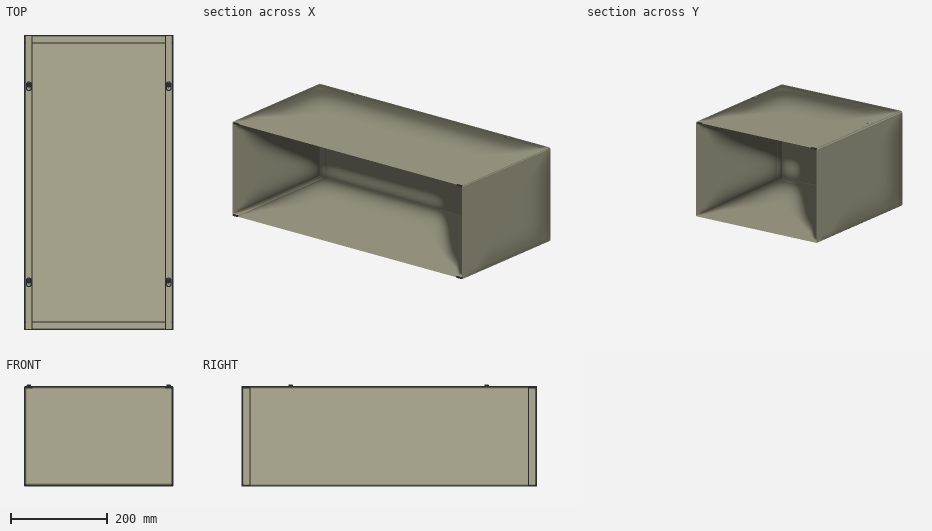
import cadquery as cq

length = 609.5
width = 308.0
height = 209.0
sheet = 1.5
bend_radius = 2.15
flange_reach = 16.0
lid_inset = 1.5

head_rise = 2.7
head_diameter = 7.5
head_edge_radius = 1.5
recess_span = 5.0
recess_slot_width = 1.0
recess_depth = 0.9
shank_diameter = 3.7
screw_hole_diameter = 4.15
screw_inset = 9.0
screw_pitch = 406.0
screw_mid_y = -1.0

slot_width = 10.0
slot_length = 17.5
slot_offset = -2.5

lid_top = height - head_rise
wrapper_top = lid_top - sheet
flange_bottom = wrapper_top - sheet
inner_width = width - 2 * sheet
screw_points = [
    (side * (width / 2 - screw_inset), screw_mid_y + end * screw_pitch / 2)
    for side in (-1, 1)
    for end in (-1, 1)
]


def block(size_x, size_y, bottom, top):
    """Box centred on the Z axis between two levels."""
    base = cq.Workplane("XY", origin=(0, 0, bottom))
    return base.rect(size_x, size_y).extrude(top - bottom)


def make_wrapper():
    """Floor, sides and inturned top flanges, bent from one sheet and open at both ends."""
    outer = block(width, length, 0, wrapper_top).edges("|Y").fillet(bend_radius)
    inner = block(inner_width, length, sheet, flange_bottom)
    inner = inner.edges("|Y").fillet(bend_radius - sheet)
    opening = block(width - 2 * flange_reach, length, flange_bottom, wrapper_top)
    screw_holes = (
        cq.Workplane("XY", origin=(0, 0, flange_bottom))
        .pushPoints(screw_points)
        .circle(screw_hole_diameter / 2)
        .extrude(sheet)
    )
    return outer.cut(inner).cut(opening).cut(screw_holes)


def make_end_panel(end, wrapper):
    """Tray closing one end (-1 or 1), notched for the wrapper flanges and trimmed to its inner bends."""
    panel = block(inner_width, flange_reach, sheet, wrapper_top)
    panel = panel.faces("<Y").edges().fillet(bend_radius)
    panel = panel.faces(">Y").shell(-sheet)
    for side in (-1, 1):
        notch = block(flange_reach, flange_reach, flange_bottom, wrapper_top)
        panel = panel.cut(notch.translate((side * (width - flange_reach) / 2, 0, 0)))
    panel = panel.translate((0, (flange_reach - length) / 2, 0))
    if end > 0:
        panel = panel.mirror("XZ")
    return panel.cut(wrapper).solids()


def make_lid():
    """Flat plate with a slot around each screw head."""
    slots = (
        cq.Workplane("XY", origin=(0, slot_offset, wrapper_top))
        .pushPoints(screw_points)
        .slot2D(slot_length, slot_width, 90)
        .extrude(sheet)
    )
    return block(width - 2 * lid_inset, length, wrapper_top, lid_top).cut(slots)


def make_screw(x, y):
    """Round cross-recessed head seated on the wrapper flange, with its shank through the flange."""
    seat = cq.Workplane("XY", origin=(x, y, wrapper_top))
    head = seat.circle(head_diameter / 2).extrude(height - wrapper_top)
    head = head.faces(">Z").edges().fillet(head_edge_radius)
    crown = cq.Workplane("XY", origin=(x, y, height))
    for angle in (0, 90):
        recess = crown.slot2D(recess_span, recess_slot_width, angle).extrude(-recess_depth)
        head = head.cut(recess)
    shank = seat.circle(shank_diameter / 2).extrude(-sheet)
    return head.union(shank)


wrapper = make_wrapper()
lid = make_lid()
end_panels = [make_end_panel(end, wrapper) for end in (-1, 1)]
screws = [make_screw(x, y) for x, y in screw_points]

result = cq.Compound.makeCompound(
    [wrapper.val(), lid.val()]
    + [panel.val() for panel in end_panels]
    + [screw.val() for screw in screws]
)